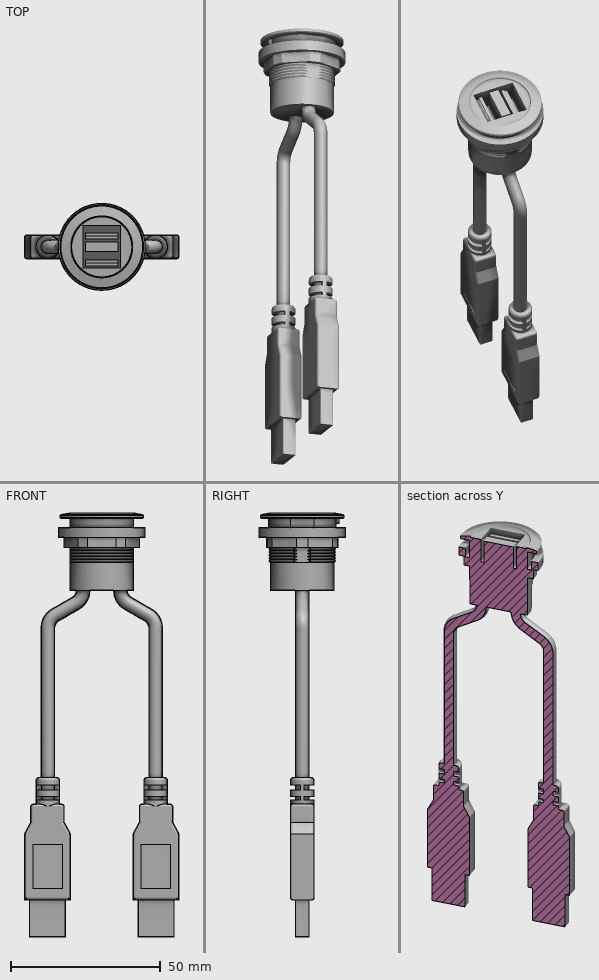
import cadquery as cq
import math

top_z = 141.7
front_disc_d = 20.1
crown_inner_d = 20.7
crown_outer_d = 27.3
crown_drop = 0.5
front_recess = 0.4
flange_d = 27.9
flange_bevel = 0.3
flange_bottom_z = 139.8
body_d = 22.7
flat_half_width = 10.6
barrel_d = 21.2
barrel_bottom_z = 115.7
washer_d = 29.0
washer_bore_d = 23.8
washer_top_z = 136.7
nut_top_z = 133.5
nut_bottom_z = 130.0
nut_width = 23.8
nut_corner_width = 25.4
thread_bottom_z = 125.1
thread_crest_d = 22.1
thread_root_d = 21.5
thread_pitch = 1.0

key_reach = 12.3
key_width = 2.8
key_height = 1.7

opening_x = 12.6
opening_y = 14.2
opening_depth = 8.5
insert_width = 10.9
web_thickness = 3.1
web_setback = 0.4
tongue_thickness = 2.0
tongue_setback = 1.4
contact_setback = 2.1
tongue_inner_sides = (2.7, -4.4)

cable_d = 4.5
cable_exit_x = 6.2
cable_x = 18.0
bend_radius = 5.0
bend_angle = 60.0

plug_x = 18.1
plug_thickness = 8.0
grip_bottom_z = 12.3
grip_width = 15.3
shoulder_low_z = 34.4
shoulder_high_z = 38.2
neck_width = 11.2
neck_top_z = 44.3
grip_round = 0.8
shell_width = 12.0
shell_thickness = 4.5
shell_round = 0.4
label_width = 9.9
label_bottom_z = 16.1
label_height = 14.7
label_depth = 0.1

relief_d = 8.0
relief_top_z = 53.3
relief_round = 1.1
relief_rib = 1.3
grooves = ((49.2, 1.5), (45.8, 1.1))

OVERLAP = 0.7


def disc(diameter, bottom_z, height):
    return cq.Workplane("XY").workplane(offset=bottom_z).circle(diameter / 2).extrude(height)


def block(x, y, bottom_z, size_x, size_y, height):
    box = cq.Workplane("XY").box(size_x, size_y, height, centered=(True, True, False))
    return box.translate((x, y, bottom_z))


def hex_prism(across_flats, bottom_z, height, turn):
    corner_d = across_flats / math.cos(math.pi / 6)
    prism = cq.Workplane("XY").workplane(offset=bottom_z).polygon(6, corner_d).extrude(height)
    return prism.rotate((0, 0, 0), (0, 0, 1), turn)


def make_flange():
    crown_edge_z = top_z - crown_drop
    profile = [
        (0, flange_bottom_z),
        (crown_outer_d / 2, flange_bottom_z),
        (flange_d / 2, flange_bottom_z + flange_bevel),
        (flange_d / 2, crown_edge_z - flange_bevel),
        (crown_outer_d / 2, crown_edge_z),
        (crown_inner_d / 2, top_z),
        (front_disc_d / 2, top_z - front_recess),
        (0, top_z - front_recess),
    ]
    return cq.Workplane("XZ").polyline(profile).close().revolve(360, (0, 0, 0), (0, 1, 0))


def make_thread():
    """Ring-shaped ridges, cut flat on both X sides like the body above."""
    length = nut_bottom_z - thread_bottom_z
    ridge_count = round(length / thread_pitch)
    root_r = thread_root_d / 2
    profile = [(0, thread_bottom_z), (root_r, thread_bottom_z)]
    for ridge in range(ridge_count):
        start_z = thread_bottom_z + ridge * thread_pitch
        profile.append((thread_crest_d / 2, start_z + thread_pitch / 2))
        profile.append((root_r, start_z + thread_pitch))
    profile.append((0, nut_bottom_z))
    return cq.Workplane("XZ").polyline(profile).close().revolve(360, (0, 0, 0), (0, 1, 0))


def make_head():
    upper = disc(body_d, nut_bottom_z, flange_bottom_z - nut_bottom_z).union(make_thread())
    upper = upper.intersect(
        block(0, 0, thread_bottom_z, 2 * flat_half_width, flange_d, flange_bottom_z - thread_bottom_z)
    )
    barrel = disc(barrel_d, barrel_bottom_z, thread_bottom_z - barrel_bottom_z)
    washer_height = washer_top_z - nut_top_z
    washer = disc(washer_d, nut_top_z, washer_height).cut(disc(washer_bore_d, nut_top_z, washer_height))
    nut_height = nut_top_z - nut_bottom_z
    nut = hex_prism(nut_width, nut_bottom_z, nut_height, 0)
    nut = nut.intersect(hex_prism(nut_corner_width, nut_bottom_z, nut_height, 30))
    key = block(0, key_reach / 2, flange_bottom_z - key_height, key_width, key_reach, key_height)
    head = make_flange().union(upper).union(barrel).union(washer).union(nut).union(key)
    return head.cut(make_opening())


def make_opening():
    """Pocket for the socket, with the middle web and two stepped tongues left standing."""
    front_z = top_z - front_recess
    floor_z = front_z - opening_depth
    pocket = block(0, 0, floor_z, opening_x, opening_y, opening_depth)
    pocket = pocket.cut(block(0, 0, floor_z, insert_width, web_thickness, opening_depth - web_setback))
    half = tongue_thickness / 2
    for inner_y in tongue_inner_sides:
        outward = math.copysign(half, inner_y)
        for place, setback in ((0.5, tongue_setback), (1.5, contact_setback)):
            y = inner_y + place * outward
            pocket = pocket.cut(block(0, y, floor_z, insert_width, half, opening_depth - setback))
    return pocket


def make_cable():
    """Cable on the +X side: down, out through two equal bends, then down to the plug."""
    turn = math.radians(bend_angle)
    bend_x = bend_radius * (1 - math.cos(turn))
    bend_z = bend_radius * math.sin(turn)
    half_x = bend_radius * (1 - math.cos(turn / 2))
    half_z = bend_radius * math.sin(turn / 2)
    slope_x = cable_x - cable_exit_x - 2 * bend_x
    slope_z = slope_x / math.tan(turn)
    low_z = barrel_bottom_z - 2 * bend_z - slope_z
    path = (
        cq.Workplane("XZ")
        .moveTo(cable_exit_x, barrel_bottom_z + OVERLAP)
        .lineTo(cable_exit_x, barrel_bottom_z)
        .threePointArc(
            (cable_exit_x + half_x, barrel_bottom_z - half_z),
            (cable_exit_x + bend_x, barrel_bottom_z - bend_z),
        )
        .lineTo(cable_x - bend_x, low_z + bend_z)
        .threePointArc((cable_x - half_x, low_z + half_z), (cable_x, low_z))
        .lineTo(cable_x, neck_top_z - OVERLAP)
    )
    start = cq.Workplane("XY", origin=(cable_exit_x, 0, barrel_bottom_z + OVERLAP))
    return start.circle(cable_d / 2).sweep(path)


def make_strain_relief():
    bottom_z = neck_top_z - grip_round
    relief = disc(relief_d, bottom_z, relief_top_z - bottom_z).faces(">Z").edges().fillet(relief_round)
    for groove_z, groove_height in grooves:
        kept = disc(cable_d, groove_z, groove_height)
        kept = kept.union(block(0, 0, groove_z, relief_d, relief_rib, groove_height))
        relief = relief.cut(disc(relief_d + 1.4, groove_z, groove_height).cut(kept))
    return relief.translate((cable_x, 0, 0))


def make_plug():
    grip = (
        cq.Workplane("XZ")
        .moveTo(-grip_width / 2, grip_bottom_z)
        .lineTo(grip_width / 2, grip_bottom_z)
        .lineTo(grip_width / 2, shoulder_low_z)
        .lineTo(neck_width / 2, shoulder_high_z)
        .lineTo(neck_width / 2, neck_top_z)
        .lineTo(-neck_width / 2, neck_top_z)
        .lineTo(-neck_width / 2, shoulder_high_z)
        .lineTo(-grip_width / 2, shoulder_low_z)
        .close()
        .extrude(plug_thickness / 2, both=True)
    )
    grip = grip.faces(">Z").edges("|Y").fillet(grip_round)
    grip = grip.faces("<Y or >Y").edges().fillet(grip_round)
    shell = block(0, 0, 0, shell_width, shell_thickness, grip_bottom_z + OVERLAP)
    shell = shell.edges("|Z").fillet(shell_round)
    plug = grip.union(shell).translate((plug_x, 0, 0))
    label_y = (label_depth - plug_thickness) / 2
    return plug.cut(block(cable_x, label_y, label_bottom_z, label_width, label_depth, label_height))


lead = make_plug().union(make_strain_relief()).union(make_cable())
result = make_head().union(lead).union(lead.mirror("YZ"))